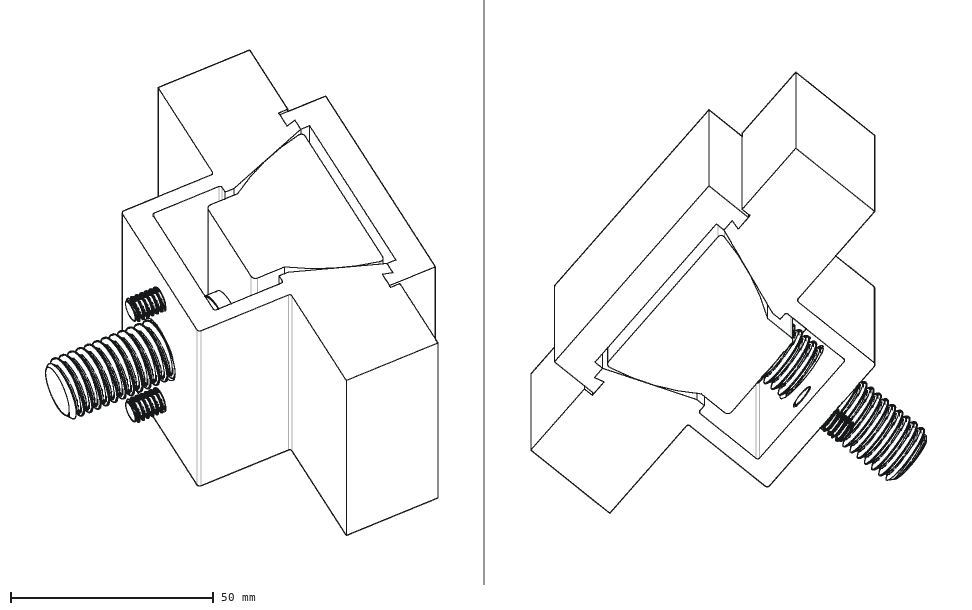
import cadquery as cq
import math

height = 63.5

frame_width = 101.6
wing_thickness = 25.4
frame_depth = 51.0
channel_width = 41.7
channel_wall = 4.1
front_wall = 6.5
seat_width = 46.5
throat_width = 29.1
lip_height = 2.4
corner_radius = 0.8
inner_radius = 0.6

joint_depth = 2.5
joint_mouth = 52.8
joint_undercut = 0.7
joint_clearance = 0.6

cap_width = 59.2
cap_rise = 10.2
cap_pocket = 2.4

wedge_depth = 31.6
stem_width = 25.4
flank_radius = 57.9
contact_depth = 10.4
wedge_top_radius = 1.0
wedge_foot_radius = 1.2

thread_stretch = 25.4
bolt_diameter = 15.8
bolt_pitch = thread_stretch / 11
bolt_tip = 79.3
bolt_chamfer = 1.5
shank_diameter = 16.0
shank_length = 3.5
bolt_hole = 16.6

screw_diameter = 6.4
screw_pitch = thread_stretch / 20
screw_reach = 8.1
screw_chamfer = 0.6
screw_spacing = 41.2

crest_flat_share = 1 / 8
thread_depth_share = 0.61
flank_angle = math.radians(30)
flank_steps = 4

cavity_floor = frame_depth - front_wall
cavity_width = channel_width - 2 * channel_wall
seat_depth = wing_thickness - lip_height
bolt_length = bolt_tip - wedge_depth
screw_length = front_wall + screw_reach
screw_positions = (-screw_spacing / 2, screw_spacing / 2)


def extrude_profile(profile):
    """Extrude a closed XY profile over the common height."""
    return profile.extrude(height).translate((0, 0, -height / 2))


def vertical_edges_at(half_width, depth):
    """Selector for the pair of Z edges at X = +-half_width and Y = -depth."""
    slack = 0.1
    boxes = [
        cq.selectors.BoxSelector(
            (side * half_width - slack, -depth - slack, -height),
            (side * half_width + slack, -depth + slack, height),
        )
        for side in (-1, 1)
    ]
    return boxes[0] + boxes[1]


def mirrored_outline(right_half):
    """Closed polygon from the points of its right half, listed from back to front or reverse."""
    left_half = [(-x, y) for x, y in reversed(right_half)]
    return cq.Workplane("XY").polyline(right_half + left_half).close()


def front_bore(diameter, z):
    """Cylinder along Y that passes through the front wall at height z."""
    return (
        cq.Workplane("XZ", origin=(0, -cavity_floor, z))
        .circle(diameter / 2)
        .extrude(front_wall)
    )


def joint_groove(side):
    """Groove in the back face that takes one cap leg."""
    inner = joint_mouth / 2
    outer = cap_width / 2 + joint_clearance
    points = [
        (side * inner, 0),
        (side * (inner - joint_undercut), -joint_depth),
        (side * outer, -joint_depth),
        (side * outer, 0),
    ]
    return extrude_profile(cq.Workplane("XY").polyline(points).close())


def make_frame():
    outline = mirrored_outline([
        (frame_width / 2, 0),
        (frame_width / 2, -wing_thickness),
        (channel_width / 2, -wing_thickness),
        (channel_width / 2, -frame_depth),
    ])
    opening = mirrored_outline([
        (seat_width / 2, 0),
        (throat_width / 2, -seat_depth),
        (throat_width / 2, -wing_thickness),
        (cavity_width / 2, -wing_thickness),
        (cavity_width / 2, -cavity_floor),
    ])
    body = extrude_profile(outline)
    body = body.edges(vertical_edges_at(channel_width / 2, frame_depth)).fillet(corner_radius)
    body = body.edges(vertical_edges_at(channel_width / 2, wing_thickness)).fillet(inner_radius)
    cavity = extrude_profile(opening)
    for depth in (wing_thickness, cavity_floor):
        cavity = cavity.edges(vertical_edges_at(cavity_width / 2, depth)).fillet(inner_radius)
    body = body.cut(cavity)
    for side in (-1, 1):
        body = body.cut(joint_groove(side))
    body = body.cut(front_bore(bolt_hole, 0))
    for z in screw_positions:
        body = body.cut(front_bore(screw_diameter, z))
    return body


def make_cap():
    outline = mirrored_outline([
        (cap_width / 2, cap_rise),
        (cap_width / 2, -joint_depth),
        (joint_mouth / 2 - joint_undercut, -joint_depth),
        (joint_mouth / 2, 0),
        (seat_width / 2, 0),
        (seat_width / 2, cap_pocket),
    ])
    return extrude_profile(outline)


def make_wedge():
    seat_slope = (seat_width - throat_width) / 2 / seat_depth
    seat_angle = math.atan(seat_slope)
    contact_x = seat_width / 2 - contact_depth * seat_slope
    centre_x = contact_x - flank_radius * math.cos(seat_angle)
    centre_y = -contact_depth + flank_radius * math.sin(seat_angle)
    top_x = centre_x + math.sqrt(flank_radius**2 - centre_y**2)
    stem_x = stem_width / 2
    shoulder_y = centre_y - math.sqrt(flank_radius**2 - (stem_x - centre_x) ** 2)

    outline = (
        cq.Workplane("XY")
        .moveTo(top_x, 0)
        .threePointArc((contact_x, -contact_depth), (stem_x, shoulder_y))
        .lineTo(stem_x, -wedge_depth)
        .lineTo(-stem_x, -wedge_depth)
        .lineTo(-stem_x, shoulder_y)
        .threePointArc((-contact_x, -contact_depth), (-top_x, 0))
        .close()
    )
    body = extrude_profile(outline)
    body = body.edges(vertical_edges_at(top_x, 0)).fillet(wedge_top_radius)
    return body.edges(vertical_edges_at(stem_x, wedge_depth)).fillet(wedge_foot_radius)


def thread_section(diameter, pitch):
    """Cross-section of a single-start thread: root arc, flank, crest arc, flank."""
    crest_radius = diameter / 2
    thread_depth = thread_depth_share * pitch
    root_radius = crest_radius - thread_depth
    flank_turn = 2 * math.pi * thread_depth * math.tan(flank_angle) / pitch
    crest_turn = 2 * math.pi * crest_flat_share
    half_root_turn = math.pi - flank_turn - crest_turn / 2
    root_middle = -math.pi / 2

    def point(radius, turn):
        angle = root_middle + turn
        return (radius * math.cos(angle), radius * math.sin(angle))

    def flank_point(side, share):
        """Point of a spiral flank; the share runs from 0 at the root to 1 at the crest."""
        return point(root_radius + thread_depth * share, side * (half_root_turn + flank_turn * share))

    shares = [step / flank_steps for step in range(flank_steps + 1)]
    rising = [flank_point(1, share) for share in shares]
    falling = [flank_point(-1, share) for share in reversed(shares)]
    return (
        cq.Workplane("XY")
        .moveTo(*falling[-1])
        .threePointArc(point(root_radius, 0), rising[0])
        .spline(rising[1:], includeCurrent=True)
        .threePointArc(point(crest_radius, math.pi), falling[0])
        .spline(falling[1:], includeCurrent=True)
        .close()
    )


def threaded_bar(diameter, pitch, length):
    """Right-handed threaded bar along +Z from the origin, its surface made turn by turn."""
    turns = math.ceil(length / pitch)
    faces = []
    for turn in range(turns):
        start = turn * pitch
        stretch = min(pitch, length - start)
        section = thread_section(diameter, pitch)
        segment = section.twistExtrude(stretch, 360 * stretch / pitch).translate((0, 0, start))
        faces.extend(segment.faces("not(<Z or >Z)").vals())
        if turn == 0:
            faces.extend(segment.faces("<Z").vals())
        if turn == turns - 1:
            faces.extend(segment.faces(">Z").vals())
    return cq.Workplane(obj=cq.Solid.makeSolid(cq.Shell.makeShell(faces)))


def threaded_rod(diameter, pitch, length, chamfer):
    """Threaded bar with a 45-degree chamfer at its tip."""
    bar = threaded_bar(diameter, pitch, length)
    margin = chamfer
    cutter = (
        cq.Workplane("XZ")
        .polyline([
            (diameter / 2 - chamfer, length),
            (diameter / 2 + margin, length),
            (diameter / 2 + margin, length - chamfer - margin),
        ])
        .close()
        .revolve(360, (0, 0, 0), (0, 1, 0))
    )
    return bar.cut(cutter)


def aim_at_front(rod, depth, z):
    """Turn a rod from +Z to -Y and start it at Y = -depth on height z."""
    return rod.rotate((0, 0, 0), (1, 0, 0), 90).translate((0, -depth, z))


def make_bolt():
    rod = threaded_rod(bolt_diameter, bolt_pitch, bolt_length - shank_length, bolt_chamfer)
    shank = cq.Workplane("XY").circle(shank_diameter / 2).extrude(-shank_length)
    return aim_at_front(rod.union(shank), wedge_depth + shank_length, 0)


def make_screw(z):
    rod = threaded_rod(screw_diameter, screw_pitch, screw_length, screw_chamfer)
    return aim_at_front(rod, cavity_floor, z)


frame = make_frame()
cap = make_cap()
wedge = make_wedge()
bolt = make_bolt()
screws = [make_screw(z) for z in screw_positions]

result = cq.Compound.makeCompound(
    [frame.val(), cap.val(), wedge.val(), bolt.val(), *[screw.val() for screw in screws]]
)